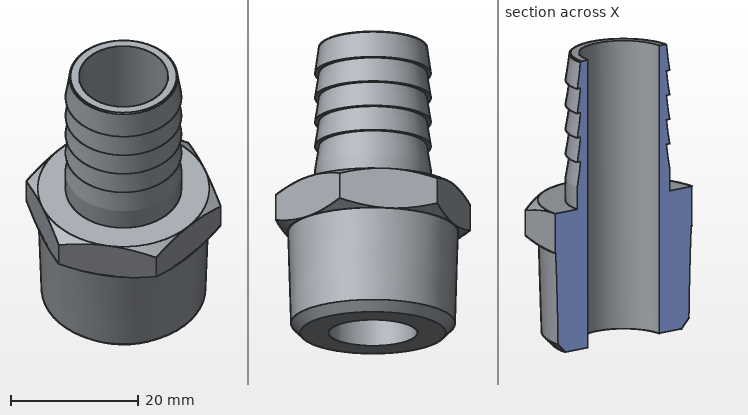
import cadquery as cq
import math

total_height = 47.0
thread_chamfer_height = 1.55
thread_top = 16.2
hex_bottom = 16.5
hex_top = 23.0
collar_top = 26.6
barb_pitch = 4.0
barb_count = 5

bore_diameter = 14.0
barb_crest_diameter = 18.3
barb_root_diameter = 17.0
thread_end_diameter = 22.85
thread_small_diameter = 25.85
thread_large_diameter = 26.75

across_flats = 27.0
across_corners = across_flats / math.cos(math.pi / 6)
hex_chamfer_angle = 30.0

tip_chamfer = 0.2


def cone(bottom_z, top_z, bottom_diameter, top_diameter):
    """Solid truncated cone on the Z axis."""
    profile = [
        (0, bottom_z),
        (bottom_diameter / 2, bottom_z),
        (top_diameter / 2, top_z),
        (0, top_z),
    ]
    return cq.Workplane("XZ").polyline(profile).close().revolve(360, (0, 0), (0, 1))


def hexagon():
    """Hexagon with corners on X, chamfered conically at both ends."""
    height = hex_top - hex_bottom
    prism = cq.Workplane("XY").workplane(offset=hex_bottom).polygon(6, across_corners).extrude(height)
    corner_radius = across_corners / 2
    flat_radius = across_flats / 2
    drop = (corner_radius - flat_radius) * math.tan(math.radians(hex_chamfer_angle))
    envelope = [
        (0, hex_bottom),
        (flat_radius, hex_bottom),
        (corner_radius, hex_bottom + drop),
        (corner_radius, hex_top - drop),
        (flat_radius, hex_top),
        (0, hex_top),
    ]
    chamfer_body = cq.Workplane("XZ").polyline(envelope).close().revolve(360, (0, 0), (0, 1))
    return prism.intersect(chamfer_body)


def hose_tail():
    """Plain collar followed by barbs that taper toward the tip."""
    tail = cone(hex_top, collar_top, barb_crest_diameter, barb_crest_diameter)
    for index in range(barb_count):
        bottom_z = collar_top + index * barb_pitch
        is_tip = index == barb_count - 1
        top_z = total_height if is_tip else bottom_z + barb_pitch
        barb = cone(bottom_z, top_z, barb_crest_diameter, barb_root_diameter)
        if is_tip:
            barb = barb.faces(">Z").chamfer(tip_chamfer)
        tail = tail.union(barb)
    return tail


thread = cone(0, thread_chamfer_height, thread_end_diameter, thread_small_diameter).union(
    cone(thread_chamfer_height, thread_top, thread_small_diameter, thread_large_diameter)
)

shoulder = cone(thread_top, hex_bottom, thread_large_diameter, thread_large_diameter)

bore = cq.Workplane("XY").circle(bore_diameter / 2).extrude(total_height)

result = thread.union(shoulder).union(hexagon()).union(hose_tail()).cut(bore)